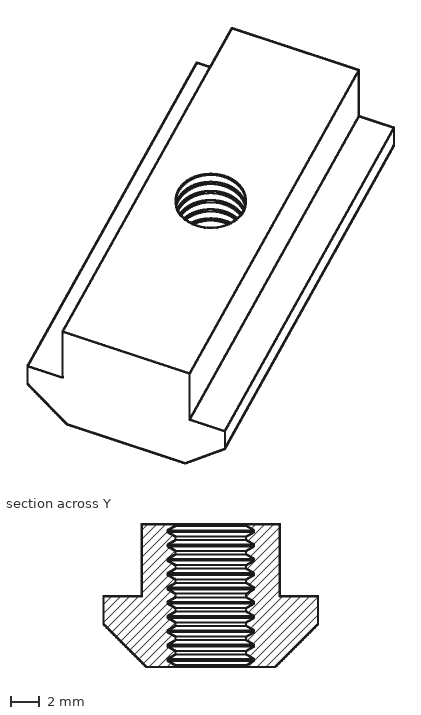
import cadquery as cq
import math

length = 30.0
flange_width = 15.0
height = 10.0
neck_width = 9.65
neck_height = 5.05
bevel = 3.0

thread_diameter = 6.0
groove_count = 10
flank_angle = math.radians(60)

pitch = height / groove_count
crest_flat = pitch / 4
root_flat = pitch / 8
flank_height = (pitch - crest_flat - root_flat) / 2
root_radius = thread_diameter / 2
crest_radius = root_radius - flank_height / math.tan(flank_angle / 2)


def nut_body():
    """T-shaped bar with bevelled lower edges, centred in X and Y, resting on Z = 0."""
    half_flange = flange_width / 2
    half_neck = neck_width / 2
    shoulder = height - neck_height
    right_side = [
        (half_flange - bevel, 0),
        (half_flange, bevel),
        (half_flange, shoulder),
        (half_neck, shoulder),
        (half_neck, height),
    ]
    left_side = [(-x, z) for x, z in reversed(right_side)]
    profile = cq.Workplane("XZ").polyline(right_side + left_side).close()
    return profile.extrude(length / 2, both=True)


def threaded_hole():
    """Cutter for the through hole; each end face lies in the middle of a crest."""
    outline = [(0, 0), (crest_radius, 0)]
    for groove in range(groove_count):
        groove_bottom = groove * pitch + crest_flat / 2
        groove_top = (groove + 1) * pitch - crest_flat / 2
        outline += [
            (crest_radius, groove_bottom),
            (root_radius, groove_bottom + flank_height),
            (root_radius, groove_top - flank_height),
            (crest_radius, groove_top),
        ]
    outline += [(crest_radius, height), (0, height)]
    return cq.Workplane("XZ").polyline(outline).close().revolve(360, (0, 0), (0, 1))


result = nut_body().cut(threaded_hole())